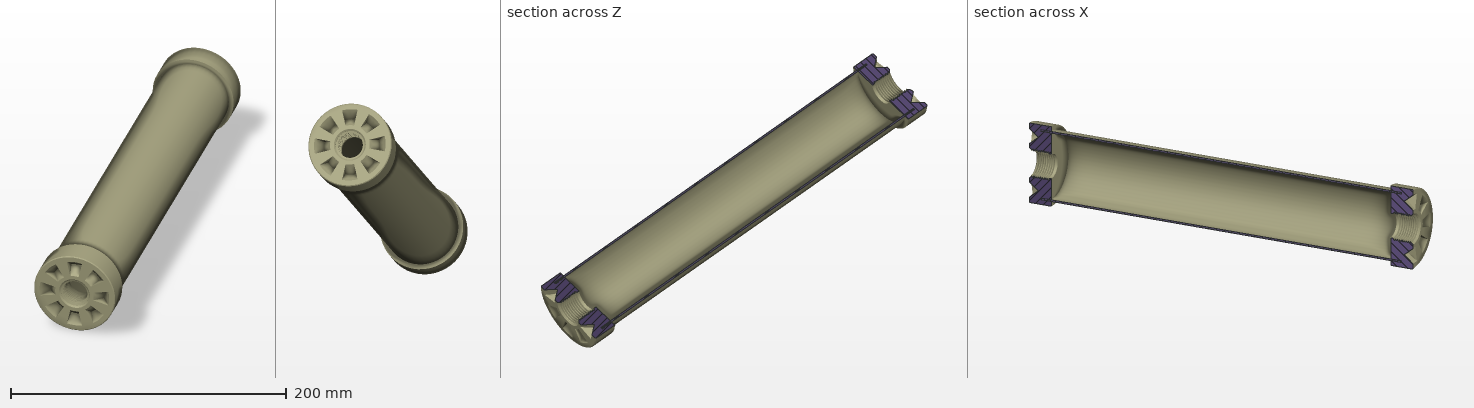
import cadquery as cq
import math

TOTAL_LENGTH = 317.5
CAP_DIAMETER = 61.3
CAP_LENGTH = 18.7
CAP_RIM_CHAMFER = 0.5
TUBE_DIAMETER = 54.0
TUBE_BORE = 50.8

SOCKET_DEPTH = 9.2

WINDOW_COUNT = 8
WINDOW_OUTER_RADIUS = 26.5
WINDOW_INNER_RADIUS = 14.5
WINDOW_ANGLE = 25.0
WINDOW_DEPTH = 7.3

THREAD_MINOR_DIAMETER = 18.5
THREAD_MAJOR_DIAMETER = 21.3
THREAD_PITCH = 1.8
THREAD_FLAT = 0.3
PORT_MOUTH_DIAMETER = 23.5


def make_port_cutter():
    """Threaded bore along +Z, chamfered from the mouth down to the first thread root."""
    minor_radius = THREAD_MINOR_DIAMETER / 2
    major_radius = THREAD_MAJOR_DIAMETER / 2
    mouth_radius = PORT_MOUTH_DIAMETER / 2
    first_root = mouth_radius - major_radius
    groove_count = math.floor((CAP_LENGTH - first_root) / THREAD_PITCH)

    profile = cq.Workplane("XZ").lineTo(mouth_radius, 0)
    for groove in range(groove_count):
        root = first_root + groove * THREAD_PITCH
        crest = root + THREAD_PITCH / 2
        profile = (
            profile.lineTo(major_radius, root)
            .lineTo(major_radius, root + THREAD_FLAT)
            .lineTo(minor_radius, crest)
            .lineTo(minor_radius, crest + THREAD_FLAT)
        )
    profile = profile.lineTo(minor_radius, CAP_LENGTH).lineTo(0, CAP_LENGTH).close()
    return profile.revolve(360, (0, 0, 0), (0, 1, 0))


def make_window_cutter():
    """One window on the +X side: a V-shaped ring groove trimmed to a wedge."""
    mid_radius = (WINDOW_OUTER_RADIUS + WINDOW_INNER_RADIUS) / 2
    groove = (
        cq.Workplane("XZ")
        .moveTo(WINDOW_INNER_RADIUS, 0)
        .lineTo(WINDOW_OUTER_RADIUS, 0)
        .lineTo(mid_radius, WINDOW_DEPTH)
        .close()
        .revolve(360, (0, 0, 0), (0, 1, 0))
    )

    wedge_half_width = CAP_DIAMETER / 2 * math.tan(math.radians(WINDOW_ANGLE / 2))
    wedge = (
        cq.Workplane("XY")
        .lineTo(CAP_DIAMETER / 2, -wedge_half_width)
        .lineTo(CAP_DIAMETER / 2, wedge_half_width)
        .close()
        .extrude(WINDOW_DEPTH)
    )
    return groove.intersect(wedge)


def make_cap():
    """End cap with its outer face at Z = 0 and its socket opening toward +Z."""
    cap = cq.Workplane("XY").circle(CAP_DIAMETER / 2).extrude(CAP_LENGTH)
    cap = cap.faces("<Z").edges().chamfer(CAP_RIM_CHAMFER)

    socket = (
        cq.Workplane("XY", origin=(0, 0, CAP_LENGTH - SOCKET_DEPTH))
        .circle(TUBE_DIAMETER / 2)
        .circle(TUBE_BORE / 2)
        .extrude(SOCKET_DEPTH)
    )
    cap = cap.cut(socket).cut(make_port_cutter())

    window = make_window_cutter()
    for index in range(WINDOW_COUNT):
        cap = cap.cut(window.rotate((0, 0, 0), (0, 0, 1), index * 360 / WINDOW_COUNT))
    return cap


def make_tube():
    """Plain tube reaching the bottom of both sockets."""
    tube_length = TOTAL_LENGTH - 2 * (CAP_LENGTH - SOCKET_DEPTH)
    return (
        cq.Workplane("XZ", origin=(0, tube_length / 2, 0))
        .circle(TUBE_DIAMETER / 2)
        .circle(TUBE_BORE / 2)
        .extrude(tube_length)
    )


tube = make_tube()

caps = []
for turn in (0, 180):
    cap = make_cap().rotate((0, 0, 0), (1, 0, 0), -90).translate((0, -TOTAL_LENGTH / 2, 0))
    caps.append(cap.rotate((0, 0, 0), (0, 0, 1), turn).val())

result = cq.Compound.makeCompound([tube.val(), *caps])